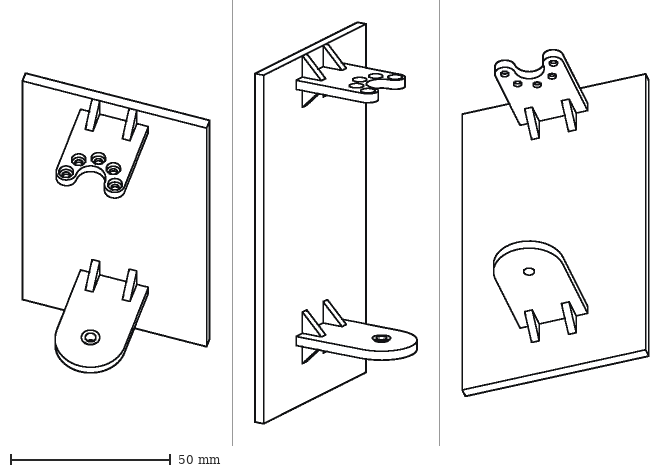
import cadquery as cq
import math

plate_width = 60.6
plate_height = 115.0
plate_thickness = 3.2

total_depth = 39.0
arm_thickness = 3.0
arm_radius = 11.2
pivot_y = arm_radius - total_depth
lower_arm_top = 23.5

rib_leg = 7.0
rib_width = 2.5
rib_offset = 6.1
upper_arm_top = plate_height - rib_leg

hole_count = 5
hole_circle_radius = 8.0
hole_diameter = 2.5
counterbore_diameter = 4.5
counterbore_depth = 1.8

lobe_radius = 3.2
lobe_offset = arm_radius - lobe_radius
notch_radius = lobe_offset - lobe_radius

collar_top_diameter = 5.8
collar_base_diameter = 4.5
collar_height = 0.7
pivot_hole_diameter = 3.3


def make_plate():
    return cq.Workplane("XY").box(
        plate_width, plate_thickness, plate_height, centered=(True, False, False)
    ).translate((0, -plate_thickness, 0))


def make_ribs(arm_top):
    """Two pairs of triangular ribs, mirrored about the arm's mid-plane."""
    arm_bottom = arm_top - arm_thickness
    ribs = cq.Workplane("YZ")
    for face_z, direction in ((arm_top, 1), (arm_bottom, -1)):
        for side in (-1, 1):
            rib = (
                cq.Workplane("YZ", origin=(side * rib_offset, 0, 0))
                .moveTo(-plate_thickness, face_z)
                .lineTo(-plate_thickness - rib_leg, face_z)
                .lineTo(-plate_thickness, face_z + direction * rib_leg)
                .close()
                .extrude(rib_width / 2, both=True)
            )
            ribs = ribs.add(rib)
    return ribs.combine()


def make_upper_arm():
    """Arm with a round notch between two lobes and a half circle of holes."""
    arm_bottom = upper_arm_top - arm_thickness
    arm = (
        cq.Workplane("XY", origin=(0, 0, arm_bottom))
        .moveTo(-arm_radius, -plate_thickness)
        .lineTo(-arm_radius, pivot_y)
        .threePointArc((-lobe_offset, pivot_y - lobe_radius), (-notch_radius, pivot_y))
        .threePointArc((0, pivot_y + notch_radius), (notch_radius, pivot_y))
        .threePointArc((lobe_offset, pivot_y - lobe_radius), (arm_radius, pivot_y))
        .lineTo(arm_radius, -plate_thickness)
        .close()
        .extrude(arm_thickness)
    )
    hole_points = []
    for index in range(hole_count):
        angle = math.pi * index / (hole_count - 1)
        x = hole_circle_radius * math.cos(angle)
        y = pivot_y + hole_circle_radius * math.sin(angle)
        hole_points.append((x, y))
    return (
        arm.faces(">Z")
        .workplane(origin=(0, 0, upper_arm_top))
        .pushPoints(hole_points)
        .cboreHole(hole_diameter, counterbore_diameter, counterbore_depth)
    )


def make_lower_arm():
    """Round-ended arm with a flared collar around the pivot hole."""
    arm = (
        cq.Workplane("XY", origin=(0, 0, lower_arm_top - arm_thickness))
        .moveTo(-arm_radius, -plate_thickness)
        .lineTo(-arm_radius, pivot_y)
        .threePointArc((0, pivot_y - arm_radius), (arm_radius, pivot_y))
        .lineTo(arm_radius, -plate_thickness)
        .close()
        .extrude(arm_thickness)
    )
    collar = (
        cq.Workplane("XY", origin=(0, pivot_y, lower_arm_top))
        .circle(collar_base_diameter / 2)
        .workplane(offset=collar_height)
        .circle(collar_top_diameter / 2)
        .loft()
    )
    pivot_hole = (
        cq.Workplane("XY", origin=(0, pivot_y, lower_arm_top - arm_thickness))
        .circle(pivot_hole_diameter / 2)
        .extrude(arm_thickness + collar_height)
    )
    return arm.union(collar).cut(pivot_hole)


result = make_plate().union(make_upper_arm()).union(make_lower_arm())
for arm_top in (upper_arm_top, lower_arm_top):
    result = result.union(make_ribs(arm_top))